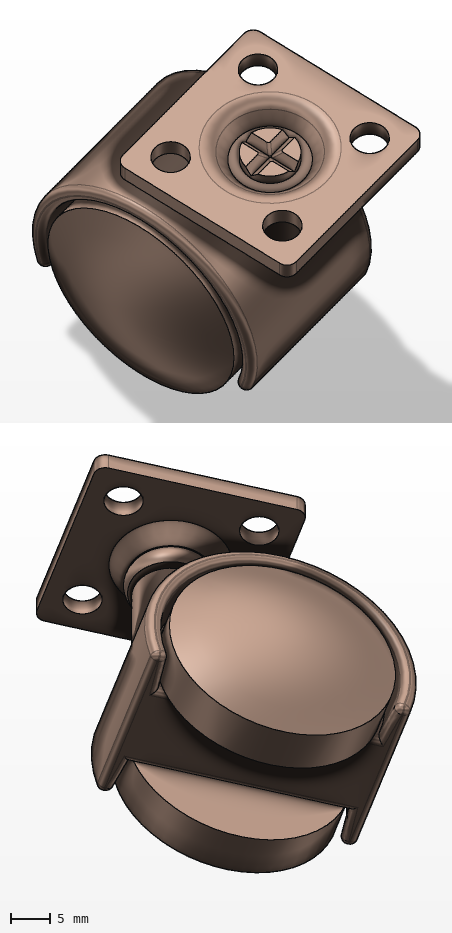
import cadquery as cq
import math


WHEEL_RADIUS = 15.0
WHEEL_WIDTH = 6.0
WHEEL_GAP = 13.1
DOME_HEIGHT = 3.9

HOOD_RADIUS = 18.0
HOOD_WIDTH = WHEEL_GAP + 2 * WHEEL_WIDTH
HOOD_WALL = 2.0
HOOD_FILLET = 1.0
HOOD_BOTTOM_Z = -5.98
POCKET_MOUTH_RADIUS = HOOD_RADIUS - HOOD_WALL
POCKET_FLOOR_RADIUS = 15.4
POST_RADIUS = 5.0
POST_TOP_Z = 19.25

SWIVEL_X = 11.0
PLATE_SIDE = 28.0
PLATE_THICKNESS = 2.4
PLATE_TOP_Z = 27.48
PLATE_BOTTOM_Z = PLATE_TOP_Z - PLATE_THICKNESS
PLATE_CORNER_RADIUS = 1.5
BOLT_HOLE_DIAMETER = 5.0
BOLT_HOLE_PITCH = 18.0
SKIRT_TOP_RADIUS = 7.85
SKIRT_BOTTOM_RADIUS = 5.68
SKIRT_HEIGHT = 2.35
RING_RADIUS = 6.0
RING_END_RADIUS = 5.5
RING_HEIGHT = 2.8
CUP_DEPTH = PLATE_THICKNESS
CUP_FLOOR_RADIUS = 5.38
CUP_LIP_FILLET = 3.0

HEAD_RADIUS = 3.9
HEAD_HEIGHT = 1.5
SHANK_RADIUS = 3.0
SHANK_DEPTH_IN_POST = 6.0
CROSS_GROOVE_DEPTH = 1.0
CROSS_CORNER_FILLET = 0.5

RING_TOP_Z = PLATE_BOTTOM_Z - SKIRT_HEIGHT
RING_BOTTOM_Z = RING_TOP_Z - RING_HEIGHT
CUP_FLOOR_Z = PLATE_TOP_Z - CUP_DEPTH
HEAD_TOP_Z = CUP_FLOOR_Z + HEAD_HEIGHT
SHANK_BOTTOM_Z = POST_TOP_Z - SHANK_DEPTH_IN_POST


def upright_cylinder(radius, bottom_z, top_z):
    """Cylinder on the swivel axis."""
    return (
        cq.Workplane("XY", origin=(SWIVEL_X, 0, bottom_z))
        .circle(radius)
        .extrude(top_z - bottom_z)
    )


def make_hood():
    """Half-round cover with a wheel pocket in each side and the post for the swivel pin."""
    half_width = HOOD_WIDTH / 2
    body = cq.Workplane("XZ").circle(HOOD_RADIUS).extrude(half_width, both=True)
    for side in (-1, 1):
        pocket = (
            cq.Workplane("XZ", origin=(0, side * WHEEL_GAP / 2, 0))
            .circle(POCKET_FLOOR_RADIUS)
            .workplane(offset=-side * WHEEL_WIDTH)
            .circle(POCKET_MOUTH_RADIUS)
            .loft()
        )
        body = body.cut(pocket)
    lower_block = cq.Workplane("XY", origin=(0, 0, HOOD_BOTTOM_Z)).box(
        2 * HOOD_RADIUS, HOOD_WIDTH, 2 * HOOD_RADIUS, centered=(True, True, False)
    )
    body = body.intersect(lower_block)
    body = body.faces("<Y or >Y or <Z").edges().fillet(HOOD_FILLET)

    post = upright_cylinder(POST_RADIUS, 0, POST_TOP_Z)
    shank_hole = upright_cylinder(SHANK_RADIUS, SHANK_BOTTOM_Z, POST_TOP_Z)
    return body.union(post).cut(shank_hole)


def make_wheel(side):
    """Wheel with a spherical outer face, on the -Y (side = -1) or +Y (side = 1) side."""
    inner = side * WHEEL_GAP / 2
    rim = side * HOOD_WIDTH / 2
    apex = rim + side * DOME_HEIGHT
    sphere_radius = (WHEEL_RADIUS**2 + DOME_HEIGHT**2) / (2 * DOME_HEIGHT)
    mid_angle = math.asin(WHEEL_RADIUS / sphere_radius) / 2
    mid_radius = sphere_radius * math.sin(mid_angle)
    mid_sag = sphere_radius * (1 - math.cos(mid_angle))
    return (
        cq.Workplane("XY")
        .moveTo(0, inner)
        .lineTo(WHEEL_RADIUS, inner)
        .lineTo(WHEEL_RADIUS, rim)
        .threePointArc((mid_radius, apex - side * mid_sag), (0, apex))
        .close()
        .revolve(360, (0, 0, 0), (0, 1, 0))
    )


def make_cup():
    """Volume of the flared cup sunk into the plate: a 45 degree cone with a rounded mouth."""
    half_slope = math.radians(45)
    lip_drop = CUP_LIP_FILLET * (1 - math.cos(half_slope))
    lip_radius = CUP_FLOOR_RADIUS + CUP_DEPTH - lip_drop
    mouth_radius = lip_radius + CUP_LIP_FILLET * math.sin(half_slope)
    mid = half_slope / 2
    lip_mid = (
        mouth_radius - CUP_LIP_FILLET * math.sin(mid),
        PLATE_TOP_Z - CUP_LIP_FILLET * (1 - math.cos(mid)),
    )
    return (
        cq.Workplane("XZ")
        .moveTo(0, CUP_FLOOR_Z)
        .lineTo(CUP_FLOOR_RADIUS, CUP_FLOOR_Z)
        .lineTo(lip_radius, PLATE_TOP_Z - lip_drop)
        .threePointArc(lip_mid, (mouth_radius, PLATE_TOP_Z))
        .lineTo(0, PLATE_TOP_Z)
        .close()
        .revolve(360, (0, 0, 0), (0, 1, 0))
        .translate((SWIVEL_X, 0, 0))
    )


def make_plate():
    """Square plate with bolt holes, a conical skirt and a rounded ring below it."""
    plate = (
        cq.Workplane("XY", origin=(SWIVEL_X, 0, PLATE_BOTTOM_Z))
        .rect(PLATE_SIDE, PLATE_SIDE)
        .extrude(PLATE_THICKNESS)
        .edges("|Z")
        .fillet(PLATE_CORNER_RADIUS)
        .faces(">Z")
        .workplane()
        .rect(BOLT_HOLE_PITCH, BOLT_HOLE_PITCH, forConstruction=True)
        .vertices()
        .hole(BOLT_HOLE_DIAMETER)
    )
    skirt = (
        cq.Workplane("XY", origin=(SWIVEL_X, 0, RING_TOP_Z))
        .circle(SKIRT_BOTTOM_RADIUS)
        .workplane(offset=SKIRT_HEIGHT)
        .circle(SKIRT_TOP_RADIUS)
        .loft()
    )
    ring = (
        cq.Workplane("XZ")
        .moveTo(0, RING_BOTTOM_Z)
        .lineTo(RING_END_RADIUS, RING_BOTTOM_Z)
        .threePointArc((RING_RADIUS, RING_BOTTOM_Z + RING_HEIGHT / 2), (RING_END_RADIUS, RING_TOP_Z))
        .lineTo(0, RING_TOP_Z)
        .close()
        .revolve(360, (0, 0, 0), (0, 1, 0))
        .translate((SWIVEL_X, 0, 0))
    )
    shank_hole = upright_cylinder(SHANK_RADIUS, RING_BOTTOM_Z, PLATE_TOP_Z)
    return plate.union(skirt).union(ring).cut(make_cup()).cut(shank_hole)


def make_head_wedge():
    """One quarter of the head beside the cross recess, its inner corner rounded, on the Z axis."""
    flank_start = (0, -CROSS_GROOVE_DEPTH)
    flank_end = (CROSS_GROOVE_DEPTH, 0)
    half_groove = [flank_start, flank_end, (0, 0)]
    wedge = cq.Workplane("XY").box(
        HEAD_RADIUS, HEAD_RADIUS, CROSS_GROOVE_DEPTH, centered=False
    ).translate((0, 0, -CROSS_GROOVE_DEPTH))
    along_y = cq.Workplane("XZ").polyline(half_groove).close().extrude(-HEAD_RADIUS)
    along_x = cq.Workplane("YZ").polyline(half_groove).close().extrude(HEAD_RADIUS)
    wedge = wedge.cut(along_y).cut(along_x)
    inner_corner = cq.selectors.ParallelDirSelector(cq.Vector(1, 1, 1))
    return wedge.edges(inner_corner).fillet(CROSS_CORNER_FILLET)


def make_pin():
    """Swivel pin: shank in the plate and post, head on the cup floor with a cross recess."""
    shank = upright_cylinder(SHANK_RADIUS, SHANK_BOTTOM_Z, CUP_FLOOR_Z)
    head_base = upright_cylinder(HEAD_RADIUS, CUP_FLOOR_Z, HEAD_TOP_Z - CROSS_GROOVE_DEPTH)
    pin = shank.union(head_base)
    head_outline = upright_cylinder(HEAD_RADIUS, CUP_FLOOR_Z, HEAD_TOP_Z)
    wedge = make_head_wedge()
    for quarter in range(4):
        turned = wedge.rotate((0, 0, 0), (0, 0, 1), 90 * quarter).translate((SWIVEL_X, 0, HEAD_TOP_Z))
        pin = pin.union(turned.intersect(head_outline))
    return pin


hood = make_hood()
wheels = [make_wheel(side) for side in (-1, 1)]
plate = make_plate()
pin = make_pin()

result = cq.Compound.makeCompound(
    [hood.val(), *[wheel.val() for wheel in wheels], plate.val(), pin.val()]
)